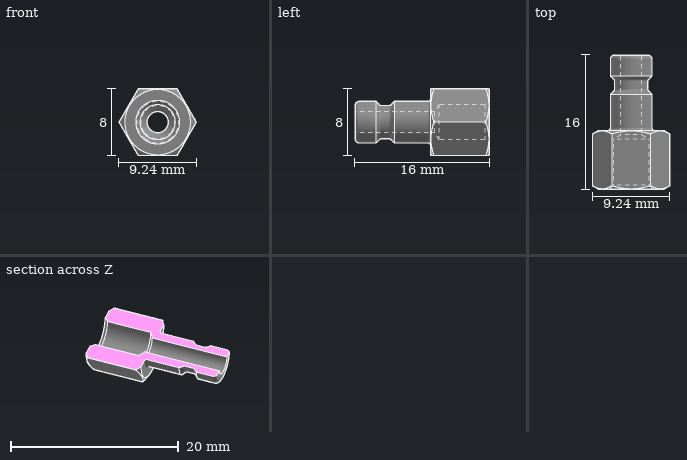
import cadquery as cq
import math

total_length = 16.0
hex_length = 7.0
hex_across_flats = 8.0
hex_face_radius = 3.9
hex_chamfer_angle = 30.0

shaft_radius = 2.5
tip_fillet = 0.5
base_fillet = 0.29

groove_radius = 2.0
groove_start = 2.5
groove_end = 4.69
groove_rear_width = 0.5
groove_corner_fillet = 0.24

mouth_radius = 2.6
bore_radius = 2.1
bore_depth = 6.0
passage_radius = 1.25
drill_point_angle = 118.0


def revolve_about_axis(profile):
    """Turn an (X radius, Y) profile about the Y axis."""
    return profile.close().revolve(360, (0, 0, 0), (0, 1, 0))


def make_hexagon():
    """Hexagonal prism with both ends turned to a conical chamfer."""
    corner_diameter = hex_across_flats / math.cos(math.pi / 6)
    corner_radius = corner_diameter / 2
    chamfer_length = (corner_radius - hex_face_radius) * math.tan(math.radians(hex_chamfer_angle))
    prism = cq.Workplane("XZ").polygon(6, corner_diameter).extrude(-hex_length)
    envelope = revolve_about_axis(
        cq.Workplane("XY")
        .lineTo(hex_face_radius, 0)
        .lineTo(corner_radius, chamfer_length)
        .lineTo(corner_radius, hex_length - chamfer_length)
        .lineTo(hex_face_radius, hex_length)
        .lineTo(0, hex_length)
    )
    return prism.intersect(envelope)


def make_shaft():
    """Round plug with a rounded tip, a latching groove and a flared base."""
    groove_depth = shaft_radius - groove_radius
    groove_back = total_length - groove_end
    groove_front = total_length - groove_start
    shaft = revolve_about_axis(
        cq.Workplane("XY")
        .lineTo(shaft_radius, 0)
        .lineTo(shaft_radius, groove_back)
        .lineTo(groove_radius, groove_back + groove_rear_width)
        .lineTo(groove_radius, groove_front - groove_depth)
        .lineTo(shaft_radius, groove_front)
        .lineTo(shaft_radius, total_length)
        .lineTo(0, total_length)
    )
    groove_floor_edges = cq.selectors.BoxSelector(
        (-shaft_radius, groove_back + groove_rear_width / 2, -shaft_radius),
        (shaft_radius, groove_front - groove_depth / 2, shaft_radius),
    )
    shaft = shaft.edges("%CIRCLE").edges(groove_floor_edges).fillet(groove_corner_fillet)
    return shaft.faces(">Y").edges().fillet(tip_fillet)


def make_base_flare():
    """Concave fillet ring where the shaft meets the hexagon."""
    arc_inset = base_fillet * (1 - math.sqrt(0.5))
    return revolve_about_axis(
        cq.Workplane("XY")
        .moveTo(0, hex_length)
        .lineTo(shaft_radius + base_fillet, hex_length)
        .threePointArc(
            (shaft_radius + arc_inset, hex_length + arc_inset),
            (shaft_radius, hex_length + base_fillet),
        )
        .lineTo(0, hex_length + base_fillet)
    )


def make_passage():
    """Countersunk bore ending in a drill point, with a smaller through hole."""
    countersink_depth = mouth_radius - bore_radius
    point_length = (bore_radius - passage_radius) / math.tan(math.radians(drill_point_angle / 2))
    return revolve_about_axis(
        cq.Workplane("XY")
        .lineTo(mouth_radius, 0)
        .lineTo(bore_radius, countersink_depth)
        .lineTo(bore_radius, bore_depth)
        .lineTo(passage_radius, bore_depth + point_length)
        .lineTo(passage_radius, total_length)
        .lineTo(0, total_length)
    )


result = make_hexagon().union(make_shaft()).union(make_base_flare()).cut(make_passage())